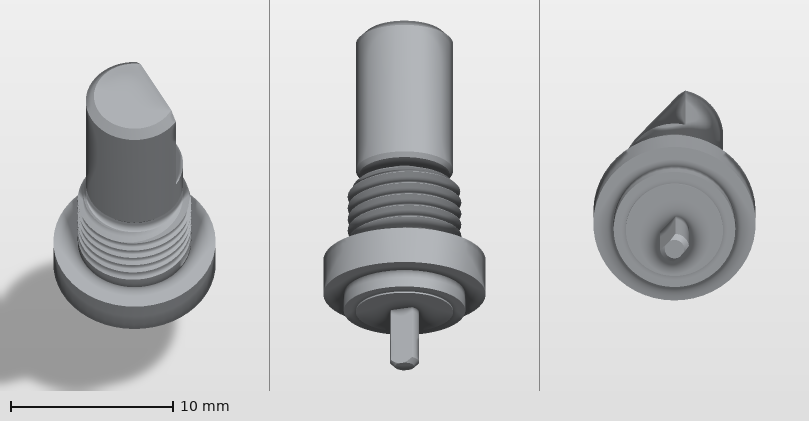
import cadquery as cq


flange_diameter = 10.0
flange_thickness = 2.3
step_diameter = 7.5
step_height = 1.1
pad_diameter = 6.0
pad_height = 0.1

thread_diameter = 7.0
bushing_height = 5.0
bushing_chamfer = 0.5
thread_pitch = 0.75
thread_depth = 0.6
crest_width = 0.02
thread_start_height = 0.5
thread_start_angle = 26.0
cutter_overshoot = 0.1

neck_diameter = 3.0
shaft_diameter = 6.0
shaft_bottom = 5.7
shaft_top = 15.0
shaft_top_chamfer = 0.5
shaft_bottom_chamfer_width = 0.2
shaft_bottom_chamfer_height = 0.3
flat_offset = 1.5
flat_bottom = 8.0

pin_diameter = 1.8
pin_thickness = 1.15
pin_length = 3.65
pin_chamfer = 0.3

flange_bottom = -flange_thickness
step_bottom = flange_bottom - step_height
pad_bottom = step_bottom - pad_height


def cylinder(diameter, bottom, top):
    """Upright cylinder on the Z axis between two heights."""
    return cq.Workplane("XY").workplane(offset=bottom).circle(diameter / 2).extrude(top - bottom)


def make_base():
    """Flange with the two smaller round steps under it."""
    flange = cylinder(flange_diameter, flange_bottom, 0)
    step = cylinder(step_diameter, step_bottom, flange_bottom)
    pad = cylinder(pad_diameter, pad_bottom, step_bottom)
    return flange.union(step).union(pad)


def make_thread_cutter():
    """Right-handed V groove that runs out through the top of the bushing."""
    major_radius = thread_diameter / 2
    root_radius = major_radius - thread_depth
    outer_radius = major_radius + cutter_overshoot
    half_width = (thread_pitch - crest_width) / 2
    helix_height = bushing_height + thread_pitch - thread_start_height
    path = cq.Wire.makeHelix(thread_pitch, helix_height, major_radius)
    groove = (
        cq.Workplane("XZ")
        .moveTo(root_radius, 0)
        .lineTo(major_radius, half_width)
        .lineTo(outer_radius, half_width)
        .lineTo(outer_radius, -half_width)
        .lineTo(major_radius, -half_width)
        .close()
        .sweep(cq.Workplane(path), isFrenet=True)
    )
    return groove.rotate((0, 0, 0), (0, 0, 1), thread_start_angle).translate((0, 0, thread_start_height))


def make_bushing():
    """Chamfered cylinder with the thread groove cut into it."""
    blank = cylinder(thread_diameter, 0, bushing_height).faces(">Z").chamfer(bushing_chamfer)
    return blank.cut(make_thread_cutter())


def make_shaft():
    """Shaft chamfered at both ends, with a flat on the +Y side of its upper part."""
    shaft = cylinder(shaft_diameter, shaft_bottom, shaft_top).faces(">Z").chamfer(shaft_top_chamfer)
    shaft = shaft.faces("<Z").chamfer(shaft_bottom_chamfer_height, shaft_bottom_chamfer_width)
    flat_cutter = cq.Workplane("XY").box(
        shaft_diameter, shaft_diameter, shaft_top - flat_bottom, centered=(True, False, False)
    )
    return shaft.cut(flat_cutter.translate((0, flat_offset, flat_bottom)))


def make_pin():
    """Round pin with a chamfered tip, flattened on its -Y and +Y sides."""
    pin = cylinder(pin_diameter, pad_bottom - pin_length, pad_bottom).faces("<Z").chamfer(pin_chamfer)
    slab = cq.Workplane("XY").box(pin_diameter, pin_thickness, pin_length, centered=(True, True, False))
    return pin.intersect(slab.translate((0, 0, pad_bottom - pin_length)))


neck = cylinder(neck_diameter, bushing_height, shaft_bottom)

result = make_base().union(make_bushing()).union(neck).union(make_shaft()).union(make_pin())